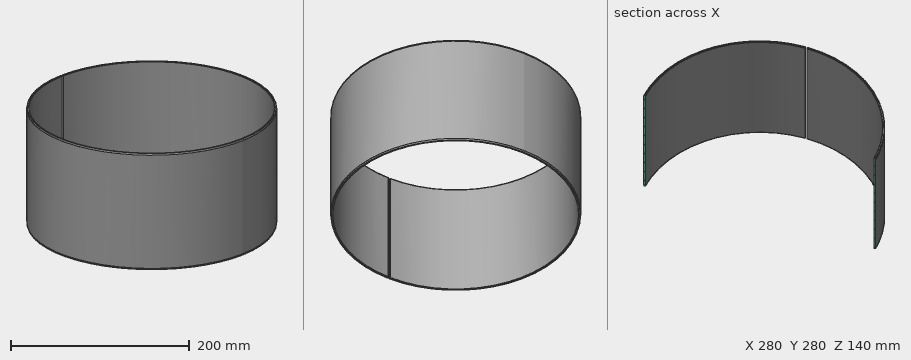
import cadquery as cq
import math

outer_diameter = 280.0
height = 140.0
wall_thickness = 2.5
outer_bevel_height = 1.8
outer_bevel_angle = 20.0
inner_bevel_height = 0.6
inner_bevel_angle = 30.0
slit_width = 2.4

outer_radius = outer_diameter / 2
inner_radius = outer_radius - wall_thickness
outer_bevel_depth = outer_bevel_height * math.tan(math.radians(outer_bevel_angle))
inner_bevel_depth = inner_bevel_height * math.tan(math.radians(inner_bevel_angle))


def make_band():
    """Full ring with bevelled outer and inner rims at the top and bottom."""
    rim_outer_radius = outer_radius - outer_bevel_depth
    rim_inner_radius = inner_radius + inner_bevel_depth
    section = (
        cq.Workplane("XZ")
        .moveTo(rim_inner_radius, 0)
        .lineTo(rim_outer_radius, 0)
        .lineTo(outer_radius, outer_bevel_height)
        .lineTo(outer_radius, height - outer_bevel_height)
        .lineTo(rim_outer_radius, height)
        .lineTo(rim_inner_radius, height)
        .lineTo(inner_radius, height - inner_bevel_height)
        .lineTo(inner_radius, inner_bevel_height)
        .close()
    )
    return section.revolve(360, (0, 0, 0), (0, 1, 0))


def make_slit():
    """Full-height cutter through the -X wall, with one face on the Y = 0 plane."""
    cutter = cq.Workplane("XY").box(outer_radius, slit_width, height, centered=False)
    return cutter.translate((-outer_radius, 0, 0))


result = make_band().cut(make_slit())